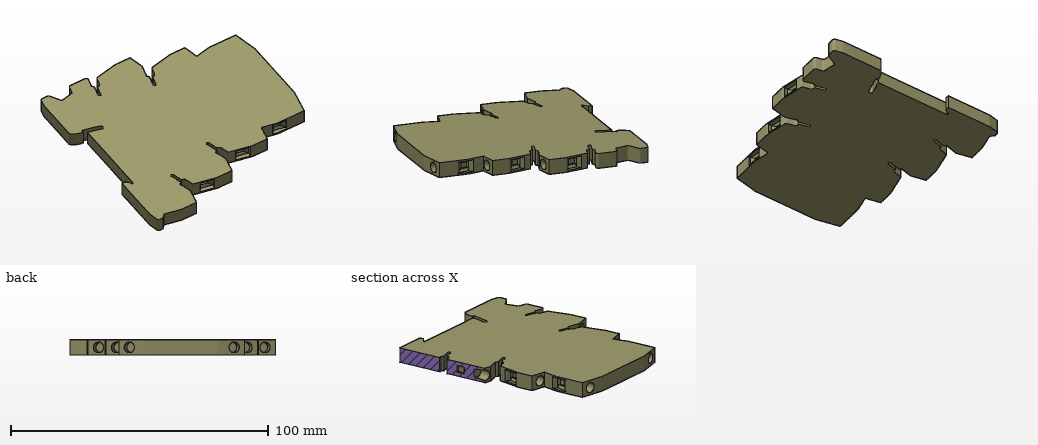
import cadquery as cq
import math

THICKNESS = 6.1
WIDTH = 80.0
HEIGHT = 85.7

FACE_TILT = 12.0
NOTCH_TILT = 15.0
TAN_FACE = math.tan(math.radians(FACE_TILT))
SIN_FACE = math.sin(math.radians(FACE_TILT))
COS_FACE = math.cos(math.radians(FACE_TILT))
TAN_NOTCH = math.tan(math.radians(NOTCH_TILT))

TIER_STEP_X = 7.0
TIER_STEP_Y = 21.0
MID_X = (WIDTH - TIER_STEP_X) / 2
TOP_X = 12.0
MIDDLE_X = TIER_STEP_X
LOWER_X = 0.0
TOP_EAVE_Y = 83.5
TOP_FLANK_Y = 71.2
VALLEY_Y = 64.5
LOWER_EAVE_Y = 42.3
LOWER_FLANK_Y = 35.4
MIDDLE_FLANK_Y = LOWER_FLANK_Y + TIER_STEP_Y
FLANK_DROP = 10.0

VALLEY_X = TOP_X + (TOP_FLANK_Y - VALLEY_Y) * TAN_FACE
MIDDLE_EAVE_Y = VALLEY_Y - (VALLEY_X - MIDDLE_X) * TAN_FACE

ROOF_RUN = 6.6
FLOOR_RUN = 5.2
CEILING_RUN = 4.0
SLOT_WIDTH = 1.1
SLOT_TOP_LENGTH = 4.1
SLOT_BOTTOM_LENGTH = 4.6
SLOT_TOP_X = 6.95
SLOT_TOP_RISE = 0.25

SHOULDER_X = 3.85
SHOULDER_Y = 13.85
WAIST_Y = 7.35
WEDGE_TILT = 30.0
FOOT_BEVEL_RUN = 3.9
LATCH_BOTTOM_X = 21.8
LATCH_BULGE = (23.2, 2.0)
LATCH_NOSE = (23.9, 4.1)
LATCH_TOP_Y = 5.1
LATCH_SLOT_X = 22.9
LATCH_SLOT_WIDTH = 1.75
LATCH_SLOT_LENGTH = 7.5
LATCH_SLOT_TILT = 14.5

RAIL_Y = 6.3
RAIL_END_X = 57.7
RAIL_LIP_Y = 5.7
HOOK_X = 55.6
HOOK_Y = 4.2
RIGHT_FOOT_Y = 2.5
RIGHT_BEVEL_RUN = 4.7
RIGHT_WAIST_Y = 7.2

FOOT_RADIUS = 1.0
WAIST_RADIUS = 0.6
CEILING_RADIUS = 0.8
SMALL_RADIUS = 0.4

FUNNEL_HEIGHT = 4.75
FUNNEL_LENGTH = 6.2
MOUTH_DEPTH = 1.75
MOUTH_OVERRUN = 1.5
RAMP_TILT = 30.0
RAMP = MOUTH_DEPTH * math.tan(math.radians(RAMP_TILT))
TAPER_DEPTH = 0.66
TAPER_END = 1.95
TAPER_SIDE = 1.15
BORE_DEPTH = 0.8
TOP_FUNNEL_Y = 69.1
MIDDLE_FUNNEL_Y = 49.3
LOWER_FUNNEL_Y = 28.3

SCREW_DIAMETER = 4.1
SCREW_DEPTH = 5.0
SCREW_INSET = 4.1
SCREW_OVERRUN = 0.2


def polar(point, length, degrees):
    angle = math.radians(degrees)
    return (point[0] + length * math.cos(angle), point[1] + length * math.sin(angle))


def mirrored(point):
    return (2 * MID_X - point[0], point[1])


def shifted(point, dx, dy):
    return (point[0] + dx, point[1] + dy)


def slot_end(start, length, width, degrees):
    """Round end of a slot with its first wall at start: first corner, apex, second corner."""
    first = polar(start, length, degrees)
    center = polar(first, width / 2, degrees - 90)
    return first, polar(center, width / 2, degrees), polar(first, width, degrees - 90)


def notch_parts():
    """Left notch under the middle tier: upper points, apex of the slot end, lower points."""
    ridge = (LOWER_X + ROOF_RUN, LOWER_EAVE_Y + ROOF_RUN * TAN_FACE)
    flank_end = (MIDDLE_X + FLANK_DROP * TAN_FACE, MIDDLE_FLANK_Y - FLANK_DROP)
    ceiling_end = shifted(flank_end, CEILING_RUN, -CEILING_RUN * TAN_NOTCH)
    slot_top = shifted(ridge, SLOT_TOP_X, SLOT_TOP_RISE)
    first, apex, second = slot_end(slot_top, SLOT_TOP_LENGTH, SLOT_WIDTH, -NOTCH_TILT)
    slot_lip = polar(second, SLOT_BOTTOM_LENGTH, 180 - NOTCH_TILT)
    floor_end = shifted(ridge, FLOOR_RUN, -FLOOR_RUN * TAN_NOTCH)
    return [flank_end, ceiling_end, slot_top, first], apex, [second, slot_lip, floor_end, ridge]


UPPER_NOTCH, NOTCH_APEX, LOWER_NOTCH = notch_parts()


def add_lines(outline, points):
    for point in points:
        outline = outline.lineTo(*point)
    return outline


def add_slotted_notch(outline, before, apex, after):
    outline = add_lines(outline, before)
    outline = outline.threePointArc(apex, after[0])
    return add_lines(outline, after[1:])


def add_left_notch(outline, dx, dy, last_points):
    """Notch walked from the upper tier down; last_points replace its ridge."""
    before = [shifted(p, dx, dy) for p in UPPER_NOTCH]
    after = [shifted(p, dx, dy) for p in LOWER_NOTCH[:-1]]
    return add_slotted_notch(outline, before, shifted(NOTCH_APEX, dx, dy), after + last_points)


def add_right_notch(outline, dx, dy):
    """Mirrored notch walked from the lower tier up."""
    before = [shifted(mirrored(p), dx, dy) for p in reversed(LOWER_NOTCH)]
    after = [shifted(mirrored(p), dx, dy) for p in reversed(UPPER_NOTCH)]
    return add_slotted_notch(outline, before, shifted(mirrored(NOTCH_APEX), dx, dy), after)


FOOT_RIDGE = shifted(LOWER_NOTCH[-1], -TIER_STEP_X, -TIER_STEP_Y)
LEDGE_Y = FOOT_RIDGE[1] + FOOT_RIDGE[0] * TAN_NOTCH
SHOULDER = (SHOULDER_X, SHOULDER_Y - SHOULDER_X * TAN_FACE)
WAIST = (SHOULDER_X + (SHOULDER[1] - WAIST_Y) * TAN_FACE, WAIST_Y)
LEFT_FOOT_SIDE = [
    (0, LEDGE_Y),
    (0, SHOULDER_Y),
    SHOULDER,
    WAIST,
    (0, WAIST_Y - WAIST[0] * math.tan(math.radians(WEDGE_TILT))),
    (0, FOOT_BEVEL_RUN * TAN_FACE),
    (FOOT_BEVEL_RUN, 0),
]
LATCH_BOTTOM = (LATCH_BOTTOM_X, 0)


def add_latch(outline):
    slot_start = (LATCH_SLOT_X, LATCH_TOP_Y)
    first, apex, second = slot_end(slot_start, LATCH_SLOT_LENGTH, LATCH_SLOT_WIDTH, 90 - LATCH_SLOT_TILT)
    rail_start_x = second[0] - (second[1] - RAIL_Y) * math.tan(math.radians(LATCH_SLOT_TILT))
    outline = outline.lineTo(*LATCH_BOTTOM).threePointArc(LATCH_BULGE, LATCH_NOSE)
    outline = add_lines(outline, [(LATCH_NOSE[0], LATCH_TOP_Y), slot_start, first])
    return outline.threePointArc(apex, second).lineTo(rail_start_x, RAIL_Y)


RIGHT_BEVEL_END = (WIDTH, RIGHT_FOOT_Y + RIGHT_BEVEL_RUN * TAN_FACE)


def right_foot_points():
    flank_y = LOWER_FLANK_Y - TIER_STEP_Y
    waist_inset = (flank_y - RIGHT_WAIST_Y) * TAN_FACE
    return [
        (RAIL_END_X, RAIL_Y),
        (RAIL_END_X, RAIL_LIP_Y),
        (HOOK_X, HOOK_Y),
        (HOOK_X, RIGHT_FOOT_Y),
        (WIDTH - RIGHT_BEVEL_RUN, RIGHT_FOOT_Y),
        RIGHT_BEVEL_END,
        (WIDTH, RIGHT_WAIST_Y - waist_inset),
        (WIDTH - waist_inset, RIGHT_WAIST_Y),
        (WIDTH, flank_y),
        (WIDTH, LOWER_EAVE_Y - TIER_STEP_Y),
    ]


def plate():
    crown = (TOP_X + (HEIGHT - TOP_EAVE_Y) / TAN_FACE, HEIGHT)
    upper_tiers = [
        crown,
        (TOP_X, TOP_EAVE_Y),
        (TOP_X, TOP_FLANK_Y),
        (VALLEY_X, VALLEY_Y),
        (MIDDLE_X, MIDDLE_EAVE_Y),
        (MIDDLE_X, MIDDLE_FLANK_Y),
    ]
    lower_tier = [(LOWER_X, LOWER_EAVE_Y), (LOWER_X, LOWER_FLANK_Y)]

    outline = cq.Workplane("XY").moveTo(*mirrored(crown))
    outline = add_lines(outline, upper_tiers)
    outline = add_left_notch(outline, 0, 0, LOWER_NOTCH[-1:])
    outline = add_lines(outline, lower_tier)
    outline = add_left_notch(outline, -TIER_STEP_X, -TIER_STEP_Y, LEFT_FOOT_SIDE)
    outline = add_latch(outline)
    outline = add_lines(outline, right_foot_points())
    outline = add_right_notch(outline, TIER_STEP_X, -TIER_STEP_Y)
    outline = add_lines(outline, [mirrored(p) for p in reversed(lower_tier)])
    outline = add_right_notch(outline, 0, 0)
    outline = add_lines(outline, [mirrored(p) for p in reversed(upper_tiers[1:])])
    return outline.close().extrude(THICKNESS)


def round_corner(body, corner, radius):
    """Fillet the edge that runs through the plate at an outline corner."""
    middle = (corner[0], corner[1], THICKNESS / 2)
    return body.edges("|Z").edges(cq.selectors.NearestToPointSelector(middle)).fillet(radius)


def round_corners(body):
    ledge, shoulder_top, shoulder, waist, wedge_end, bevel_start, _ = LEFT_FOOT_SIDE
    for corner in (ledge, shoulder_top, shoulder, wedge_end, bevel_start, RIGHT_BEVEL_END):
        body = round_corner(body, corner, FOOT_RADIUS)
    body = round_corner(body, waist, WAIST_RADIUS)
    body = round_corner(body, LATCH_BOTTOM, SMALL_RADIUS)
    flank_end, ceiling_end = UPPER_NOTCH[:2]
    for corner, radius in ((flank_end, SMALL_RADIUS), (ceiling_end, CEILING_RADIUS)):
        lower_left = shifted(corner, -TIER_STEP_X, -TIER_STEP_Y)
        lower_right = shifted(mirrored(corner), TIER_STEP_X, -TIER_STEP_Y)
        for place in (corner, lower_left, mirrored(corner), lower_right):
            body = round_corner(body, place, radius)
    return body


def funnel_cutter(side_x, flank_y, mouth_y):
    """Funnel square to a left flank: ramped mouth, taper, then a short rectangular bore."""
    start = (side_x + (flank_y - mouth_y) * TAN_FACE, mouth_y, THICKNESS / 2)
    inward = (COS_FACE, SIN_FACE, 0)
    up_flank = (-SIN_FACE, COS_FACE, 0)

    profile = [
        (-MOUTH_OVERRUN, 0),
        (0, 0),
        (MOUTH_DEPTH, RAMP),
        (MOUTH_DEPTH, FUNNEL_LENGTH),
        (-MOUTH_OVERRUN, FUNNEL_LENGTH),
    ]
    side_plane = cq.Plane(origin=start, xDir=inward, normal=(0, 0, 1))
    mouth = cq.Workplane(side_plane).polyline(profile).close().extrude(FUNNEL_HEIGHT / 2, both=True)

    wide_length = FUNNEL_LENGTH - RAMP
    bore_length = wide_length - TAPER_END
    bore_height = FUNNEL_HEIGHT - 2 * TAPER_SIDE
    flank_plane = cq.Plane(origin=start, xDir=up_flank, normal=inward)
    taper = (
        cq.Workplane(flank_plane)
        .workplane(offset=MOUTH_DEPTH)
        .center(RAMP + wide_length / 2, 0)
        .rect(wide_length, FUNNEL_HEIGHT)
        .workplane(offset=TAPER_DEPTH)
        .center(-TAPER_END / 2, 0)
        .rect(bore_length, bore_height)
        .loft()
    )
    bore = (
        cq.Workplane(flank_plane)
        .workplane(offset=MOUTH_DEPTH + TAPER_DEPTH)
        .center(RAMP + bore_length / 2, 0)
        .rect(bore_length, bore_height)
        .extrude(BORE_DEPTH)
    )
    return mouth.union(taper).union(bore)


def screw_cutter(eave_x, eave_y):
    """Blind round hole square to a left roof."""
    center = (eave_x + SCREW_INSET, eave_y + SCREW_INSET * TAN_FACE, THICKNESS / 2)
    roof_plane = cq.Plane(origin=center, xDir=(COS_FACE, SIN_FACE, 0), normal=(SIN_FACE, -COS_FACE, 0))
    hole = cq.Workplane(roof_plane).workplane(offset=-SCREW_OVERRUN).circle(SCREW_DIAMETER / 2)
    return hole.extrude(SCREW_DEPTH + SCREW_OVERRUN)


def cut_terminals(body):
    """A wire funnel and a screw hole at both ends of each tier."""
    tiers = [
        (TOP_X, TOP_EAVE_Y, TOP_FLANK_Y, TOP_FUNNEL_Y),
        (MIDDLE_X, MIDDLE_EAVE_Y, MIDDLE_FLANK_Y, MIDDLE_FUNNEL_Y),
        (LOWER_X, LOWER_EAVE_Y, LOWER_FLANK_Y, LOWER_FUNNEL_Y),
    ]
    for side_x, eave_y, flank_y, mouth_y in tiers:
        for cutter in (funnel_cutter(side_x, flank_y, mouth_y), screw_cutter(side_x, eave_y)):
            body = body.cut(cutter)
            body = body.cut(cutter.mirror("YZ", (MID_X, 0, 0)))
    return body


result = cut_terminals(round_corners(plate())).solids()